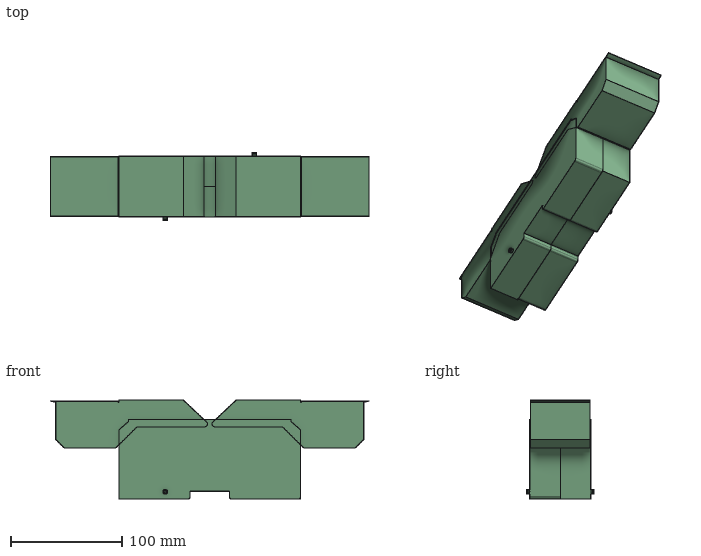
import cadquery as cq

base_half_length = 81.7
base_height = 71.9
half_width = 27.5
end_corner_radius = 2.3
shoulder_x = 73.0
shoulder_z = 70.0
shoulder_start_z = 62.4

notch_half_length = 17.7
notch_height = 7.05
notch_corner_radius = 2.0

stud_x = -40.15
stud_z = 6.6
stud_length = 3.0
stud_neck_radius = 2.0
stud_head_radius = 2.15
stud_tip_radius = 1.95
stud_bore_radius = 1.0
stud_neck_length = 1.6
stud_head_end = 2.4

wing_half_width = 26.84
wing_top = 89.3
wing_bottom = 45.9
wing_outer_x = 138.7
wing_outer_chamfer = 7.8
wing_inner_bottom_x = 84.7
slope_top_x = 23.8
slope_foot_x = 5.4
tip_x = 2.05
tip_radius = 3.0
tip_bottom = 65.0

flap_top = 88.3
groove_width = 0.8
groove_bottom = 87.4
lip_x = 143.4
lip_root_z = 87.2


def extrude_along_y(outline, y_min, y_max):
    """Solid of an XZ outline between two Y positions."""
    return outline.extrude(y_max - y_min).translate((0, y_max, 0))


def make_wing():
    """Left wing cover: box with a tapered lip, a flap groove and a sloped arm into the base."""
    slope_run = (slope_top_x - slope_foot_x) / (wing_top - base_height)
    tip_corner_z = base_height - (slope_foot_x - tip_x) / slope_run
    underside_rise = tip_bottom - wing_bottom
    outline = (
        cq.Workplane("XZ")
        .moveTo(-lip_x, flap_top)
        .lineTo(-wing_outer_x, lip_root_z)
        .lineTo(-wing_outer_x, wing_bottom + wing_outer_chamfer)
        .lineTo(-wing_outer_x + wing_outer_chamfer, wing_bottom)
        .lineTo(-wing_inner_bottom_x, wing_bottom)
        .lineTo(-wing_inner_bottom_x + underside_rise, tip_bottom)
        .lineTo(-tip_x - tip_radius, tip_bottom)
        .radiusArc((-tip_x, tip_bottom + tip_radius), -tip_radius)
        .lineTo(-tip_x, tip_corner_z)
        .lineTo(-slope_top_x, wing_top)
        .lineTo(-base_half_length, wing_top)
        .lineTo(-base_half_length, groove_bottom)
        .lineTo(-base_half_length - groove_width, groove_bottom)
        .lineTo(-base_half_length - groove_width, flap_top)
        .close()
    )
    return extrude_along_y(outline, -wing_half_width, wing_half_width)


def make_stud():
    """Bored round stud with a slightly wider head that tapers to its tip, standing out toward -Y."""
    outline = (
        cq.Workplane("XY")
        .moveTo(stud_bore_radius, 0)
        .lineTo(stud_neck_radius, 0)
        .lineTo(stud_neck_radius, -stud_neck_length)
        .lineTo(stud_head_radius, -stud_neck_length)
        .lineTo(stud_head_radius, -stud_head_end)
        .lineTo(stud_tip_radius, -stud_length)
        .lineTo(stud_bore_radius, -stud_length)
        .close()
    )
    stud = outline.revolve(360, (0, 0, 0), (0, 1, 0))
    return stud.translate((stud_x, -half_width, stud_z))


def make_base_half(wings):
    """Front half of the base, recessed for both wings, with its stud."""
    outline = (
        cq.Workplane("XZ")
        .moveTo(-base_half_length, 0)
        .lineTo(-notch_half_length - notch_corner_radius, 0)
        .radiusArc((-notch_half_length, notch_corner_radius), -notch_corner_radius)
        .lineTo(-notch_half_length, notch_height)
        .lineTo(notch_half_length, notch_height)
        .lineTo(notch_half_length, notch_corner_radius)
        .radiusArc((notch_half_length + notch_corner_radius, 0), -notch_corner_radius)
        .lineTo(base_half_length - end_corner_radius, 0)
        .radiusArc((base_half_length, end_corner_radius), -end_corner_radius)
        .lineTo(base_half_length, shoulder_start_z)
        .lineTo(shoulder_x, shoulder_z)
        .lineTo(shoulder_x, base_height)
        .lineTo(-shoulder_x, base_height)
        .lineTo(-shoulder_x, shoulder_z)
        .lineTo(-base_half_length, shoulder_start_z)
        .close()
    )
    half = extrude_along_y(outline, -half_width, 0)
    for wing in wings:
        half = half.cut(wing)
    return half.union(make_stud())


def turned_halfway(body):
    """Copy of a body turned 180 degrees about the Z axis."""
    return body.rotate((0, 0, 0), (0, 0, 1), 180)


left_wing = make_wing()
wings = [left_wing, turned_halfway(left_wing)]

front_half = make_base_half(wings)
base_halves = [front_half, turned_halfway(front_half)]

result = cq.Compound.makeCompound([body.val() for body in wings + base_halves])